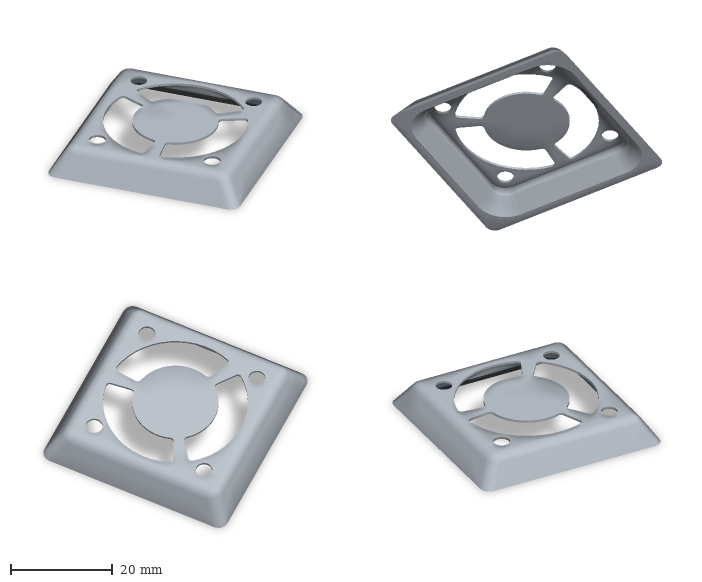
import cadquery as cq
import math

base_side = 40.0
height = 5.5
top_inset = 3.5
edge_radius = 2.5
plate_thickness = 0.5

pocket_side = 30.4
pocket_corner_radius = 3.2
flare_height = 3.0
flare_angle = 45.0

opening_outer_radius = 14.25
hub_radius = 8.5
opening_count = 3
spoke_half_angle = 6.5
opening_corner_radius = 0.8
first_opening_angle = 90.0

screw_hole_diameter = 3.3
screw_hole_spacing = 24.0

taper_angle = math.degrees(math.atan(top_inset / height))
opening_pitch = 360.0 / opening_count
cut_depth = 2 * height


def polar_point(radius, angle):
    """Point at a radius and an angle in degrees about the Z axis."""
    direction = math.radians(angle)
    return (radius * math.cos(direction), radius * math.sin(direction))


def make_body():
    """Solid tapered square with its corner edges and top rim rounded."""
    solid = cq.Workplane("XY").rect(base_side, base_side).extrude(height, taper=taper_angle)
    return solid.edges("not <Z").fillet(edge_radius)


def make_cavity():
    """Pocket with rounded corners that widens towards the open bottom."""
    flare_spread = flare_height * math.tan(math.radians(flare_angle))
    mouth_side = pocket_side + 2 * flare_spread
    mouth_corner_radius = pocket_corner_radius + flare_spread
    flare = (
        cq.Workplane("XY")
        .sketch()
        .rect(mouth_side, mouth_side)
        .vertices()
        .fillet(mouth_corner_radius)
        .finalize()
        .extrude(flare_height, taper=flare_angle)
    )
    pocket = (
        cq.Workplane("XY")
        .rect(pocket_side, pocket_side)
        .extrude(height - plate_thickness)
        .edges("|Z")
        .fillet(pocket_corner_radius)
    )
    return pocket.union(flare)


def make_opening(middle_angle):
    """Ring sector with radial sides and rounded corners."""
    half_span = opening_pitch / 2 - spoke_half_angle
    start_angle = middle_angle - half_span
    end_angle = middle_angle + half_span
    sector = (
        cq.Workplane("XY")
        .moveTo(*polar_point(hub_radius, start_angle))
        .lineTo(*polar_point(opening_outer_radius, start_angle))
        .threePointArc(
            polar_point(opening_outer_radius, middle_angle),
            polar_point(opening_outer_radius, end_angle),
        )
        .lineTo(*polar_point(hub_radius, end_angle))
        .threePointArc(
            polar_point(hub_radius, middle_angle),
            polar_point(hub_radius, start_angle),
        )
        .close()
        .extrude(cut_depth)
    )
    return sector.edges("|Z").fillet(opening_corner_radius)


def make_screw_holes():
    """Four cylinders on a square pattern."""
    return (
        cq.Workplane("XY")
        .rect(screw_hole_spacing, screw_hole_spacing, forConstruction=True)
        .vertices()
        .circle(screw_hole_diameter / 2)
        .extrude(cut_depth)
    )


result = make_body().cut(make_cavity())
for index in range(opening_count):
    result = result.cut(make_opening(first_opening_angle + index * opening_pitch))
result = result.cut(make_screw_holes())